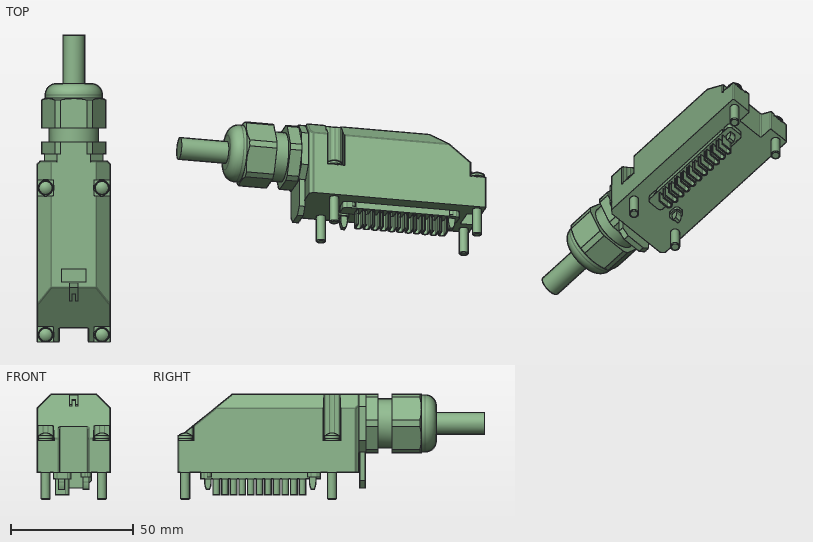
import cadquery as cq
import math

OVERLAP = 0.5

HOOD_WIDTH = 30.0
HOOD_LENGTH = 74.0
HOOD_HEIGHT = 32.0
TOP_FLAT_WIDTH = 18.4
SIDE_BEVEL = (HOOD_WIDTH - TOP_FLAT_WIDTH) / 2
NOSE_ANGLE = 39.0
NOSE_TOP_Y = 22.3
NOSE_FRONT_Z = HOOD_HEIGHT - NOSE_TOP_Y * math.tan(math.radians(NOSE_ANGLE))
REAR_CORNER_CHAMFER = 1.4
EDGE_RADIUS = 0.5
FRONT_SLOT_WIDTH = 11.8
FRONT_SLOT_DEPTH = 5.8

SCREW_X = 11.5
SCREW_FRONT_Y = 3.0
SCREW_PITCH_Y = 60.0
SCREW_YS = (SCREW_FRONT_Y, SCREW_FRONT_Y + SCREW_PITCH_Y)
SCREW_PLACES = [(side, y) for side in (-1, 1) for y in SCREW_YS]
SHANK_DIAMETER = 3.8
SHANK_BOTTOM_Z = -11.0
SHANK_CHAMFER = 0.4
HEAD_DIAMETER = 6.0
WASHER_DIAMETER = 5.6
WASHER_HEIGHT = 0.8
HEAD_RIM_HEIGHT = 1.9
DOME_BASE_DIAMETER = 5.3
HEAD_DOME_HEIGHT = 1.1
POCKET_FLOOR_Z = 13.1
POCKET_WIDTH = 6.6
POCKET_CORNER_RADIUS = 0.5
POCKET_LIP = 0.4
HEAD_BORE_DIAMETER = 6.92

LABEL_SIZE = (10.2, 5.2)
LABEL_CENTRE_Y = 27.2
LABEL_DEPTH = 0.3
MARK_WIDTH = 3.6
MARK_Y_RANGE = (16.9, 23.9)
MARK_NOTCH_WIDTH = 1.4
MARK_NOTCH_END_Y = 19.6
MARK_DEPTH = 0.5

GLAND_AXIS_Z = 20.0
ACROSS_FLATS = 24.0
ACROSS_TRUNCATED_CORNERS = 26.2
COLLAR_BACK_Y = 76.9
LOCKNUT_BACK_Y = 81.8
NECK_BACK_Y = 87.4
CAP_HEX_BACK_Y = 99.6
CAP_BACK_Y = 105.6
CABLE_END_Y = 125.35
NECK_DIAMETER = 20.3
DOME_DIAMETER = 23.4
DOME_RADIUS = 4.6
CABLE_DIAMETER = 9.0
CAP_CHAMFER = 1.0

COLLAR_WIDTH = 24.0
COLLAR_BEVEL = 5.1
TONGUE_WIDTH = 14.4
TONGUE_BOTTOM_Z = -6.4
TONGUE_BEVEL = 3.0
TONGUE_INSET = 0.25

INSERT_X_RANGE = (-8.3, -1.1)
INSERT_Y_RANGE = (9.3, 58.3)
INSERT_BOTTOM_Z = -2.65
INSERT_CORNER_RADIUS = 1.5
INSERT_FLOOR_TOP_Z = -1.9
INSERT_MIDDLE_Y_RANGE = (13.7, 53.0)
SIDE_TAB_X_RANGE = (3.0, 7.2)

CONTACT_COUNT = 11
CONTACT_PITCH = 3.52
CONTACT_X_RANGE = (-7.5, -1.9)
CONTACT_THICKNESS = 2.8
CONTACT_WALL = 0.5
CONTACT_BOTTOM_Z = -9.2

PRONG_WIDTH_X = 2.5
PRONG_ROOT_WIDTH = 2.7
PRONG_TIP_WIDTH = 1.3
PRONG_TIP_Z = -6.9
PRONG_STRAIGHT = 1.3
PRONG_X = 5.0
PRONG_FRONT_Y = 12.3
PRONG_REAR_Y = 55.1


def box_between(x_range, y_range, z_range):
    """Axis-aligned box given by its limits."""
    spans = [max(r) - min(r) for r in (x_range, y_range, z_range)]
    corner = (min(x_range), min(y_range), min(z_range))
    return cq.Workplane("XY").box(*spans, centered=False).translate(corner)


def extrude_along_y(outline, y_start, y_end):
    """Extrude a closed (x, z) outline from y_start to y_end."""
    plane = cq.Workplane("XZ", origin=(0, y_start, 0))
    return plane.polyline(outline).close().extrude(y_start - y_end)


def extrude_across_x(outline, width):
    """Extrude a closed (y, z) outline symmetrically about X = 0."""
    return cq.Workplane("YZ").polyline(outline).close().extrude(width / 2, both=True)


def rod_along_y(diameter, y_start, y_end):
    plane = cq.Workplane("XZ", origin=(0, y_start, GLAND_AXIS_Z))
    return plane.circle(diameter / 2).extrude(y_start - y_end)


def make_hood_shell():
    half = HOOD_WIDTH / 2
    half_top = TOP_FLAT_WIDTH / 2
    shoulder_z = HOOD_HEIGHT - SIDE_BEVEL
    section = [
        (-half, 0),
        (half, 0),
        (half, shoulder_z),
        (half_top, HOOD_HEIGHT),
        (-half_top, HOOD_HEIGHT),
        (-half, shoulder_z),
    ]
    side = [
        (0, 0),
        (HOOD_LENGTH, 0),
        (HOOD_LENGTH, HOOD_HEIGHT),
        (NOSE_TOP_Y, HOOD_HEIGHT),
        (0, NOSE_FRONT_Z),
    ]
    hood = extrude_along_y(section, 0, HOOD_LENGTH)
    hood = hood.intersect(extrude_across_x(side, HOOD_WIDTH))
    hood = hood.edges("|Z and >Y").chamfer(REAR_CORNER_CHAMFER)
    hood = hood.edges("not <Z").fillet(EDGE_RADIUS)
    slot = box_between(
        (-FRONT_SLOT_WIDTH / 2, FRONT_SLOT_WIDTH / 2), (0, FRONT_SLOT_DEPTH), (0, HOOD_HEIGHT)
    )
    hood = hood.cut(slot)
    slot_zone = cq.selectors.BoxSelector(
        (-half_top, -OVERLAP, 0), (half_top, FRONT_SLOT_DEPTH + OVERLAP, HOOD_HEIGHT)
    )
    return hood.edges("|Z").edges(slot_zone).fillet(EDGE_RADIUS)


def make_screw_pocket(side, y):
    """Square well around a screw, open to the side and, at the nose, to the front.

    Beyond its lip the well flares at 45 degrees.
    """
    half = POCKET_WIDTH / 2
    inner_x = SCREW_X - half
    lip_x = HOOD_WIDTH / 2 - POCKET_LIP
    flare = POCKET_WIDTH
    outline = [
        (inner_x, y + half),
        (lip_x, y + half),
        (lip_x + flare, y + half + flare),
    ]
    if y == SCREW_FRONT_Y:
        outline += [
            (lip_x + flare, POCKET_LIP - flare),
            (inner_x - flare, POCKET_LIP - flare),
            (inner_x, POCKET_LIP),
        ]
    else:
        outline += [
            (lip_x + flare, y - half - flare),
            (lip_x, y - half),
            (inner_x, y - half),
        ]
    plane = cq.Workplane("XY", origin=(0, 0, POCKET_FLOOR_Z))
    well = plane.polyline(outline).close().extrude(HOOD_HEIGHT)
    inner_corners = cq.selectors.BoxSelector(
        (inner_x - POCKET_LIP, y - flare, 0), (inner_x + POCKET_LIP, y + flare, 2 * HOOD_HEIGHT)
    )
    well = well.edges("|Z").edges(inner_corners).fillet(POCKET_CORNER_RADIUS)
    return well if side > 0 else well.mirror("YZ")


def make_head_bore(side, y):
    """Round clearance that leaves a shallow groove in each well wall."""
    plane = cq.Workplane("XY", origin=(side * SCREW_X, y, POCKET_FLOOR_Z))
    return plane.circle(HEAD_BORE_DIAMETER / 2).extrude(HOOD_HEIGHT)


def cut_screw_pockets(hood):
    for side, y in SCREW_PLACES:
        hood = hood.cut(make_screw_pocket(side, y)).cut(make_head_bore(side, y))
    return hood


def make_screw(x, y):
    """Screw with a chamfered shank, a washer and a domed head."""
    shank_length = POCKET_FLOOR_Z - SHANK_BOTTOM_Z + OVERLAP
    shank = cq.Workplane("XY").circle(SHANK_DIAMETER / 2).extrude(shank_length)
    shank = shank.faces("<Z").chamfer(SHANK_CHAMFER).translate((x, y, SHANK_BOTTOM_Z))
    washer = WASHER_DIAMETER / 2
    rim = HEAD_DIAMETER / 2
    dome = DOME_BASE_DIAMETER / 2
    mid_radius = dome / 2
    sphere_radius = (dome**2 + HEAD_DOME_HEIGHT**2) / (2 * HEAD_DOME_HEIGHT)
    mid_z = HEAD_RIM_HEIGHT + HEAD_DOME_HEIGHT - sphere_radius
    mid_z += math.sqrt(sphere_radius**2 - mid_radius**2)
    head = (
        cq.Workplane("XZ")
        .lineTo(washer, 0)
        .lineTo(washer, WASHER_HEIGHT)
        .lineTo(rim, WASHER_HEIGHT)
        .lineTo(rim, HEAD_RIM_HEIGHT)
        .lineTo(dome, HEAD_RIM_HEIGHT)
        .threePointArc((mid_radius, mid_z), (0, HEAD_RIM_HEIGHT + HEAD_DOME_HEIGHT))
        .close()
        .revolve(360, (0, 0, 0), (0, 1, 0))
    )
    return shank.union(head.translate((x, y, POCKET_FLOOR_Z)))


def make_label_recess():
    plane = cq.Workplane("XY", origin=(0, LABEL_CENTRE_Y, HOOD_HEIGHT))
    return plane.rect(*LABEL_SIZE).extrude(-LABEL_DEPTH)


def make_mark_recess():
    """Shallow forked recess that ramps in from the top and runs down the nose."""
    y_low, y_high = MARK_Y_RANGE
    slope = math.tan(math.radians(NOSE_ANGLE))
    low_z = HOOD_HEIGHT - (NOSE_TOP_Y - y_low) * slope
    path = [
        (y_low, low_z - MARK_DEPTH),
        (NOSE_TOP_Y, HOOD_HEIGHT - MARK_DEPTH),
        (y_high, HOOD_HEIGHT),
        (y_low, HOOD_HEIGHT),
    ]
    half_notch = MARK_NOTCH_WIDTH / 2
    notch = box_between((-half_notch, half_notch), (y_low, MARK_NOTCH_END_Y), (0, HOOD_HEIGHT))
    return extrude_across_x(path, MARK_WIDTH).cut(notch)


def make_gland_hex(y_start, y_end):
    """Hexagon with a flat on top and all six corners cut flat."""
    flats_to_corners = 1 / math.cos(math.pi / 6)
    plane = cq.Workplane("XZ", origin=(0, y_start, GLAND_AXIS_Z))
    depth = y_start - y_end
    hexagon = plane.polygon(6, ACROSS_FLATS * flats_to_corners).extrude(depth)
    corner_cut = plane.polygon(6, ACROSS_TRUNCATED_CORNERS * flats_to_corners).extrude(depth)
    corner_cut = corner_cut.rotate((0, 0, GLAND_AXIS_Z), (0, 1, GLAND_AXIS_Z), 30)
    return hexagon.intersect(corner_cut)


def make_gland():
    cap_hex = make_gland_hex(NECK_BACK_Y, CAP_HEX_BACK_Y)
    turned_diameter = DOME_DIAMETER + 4 * CAP_CHAMFER
    cap_turning = rod_along_y(turned_diameter, NECK_BACK_Y, CAP_HEX_BACK_Y)
    cap_turning = cap_turning.faces(">Y").chamfer(CAP_CHAMFER, 2 * CAP_CHAMFER)
    dome = rod_along_y(DOME_DIAMETER, CAP_HEX_BACK_Y - OVERLAP, CAP_BACK_Y)
    dome = dome.faces(">Y").edges().fillet(DOME_RADIUS)
    neck = rod_along_y(NECK_DIAMETER, LOCKNUT_BACK_Y - OVERLAP, NECK_BACK_Y + OVERLAP)
    cable = rod_along_y(CABLE_DIAMETER, CAP_BACK_Y - OVERLAP, CABLE_END_Y)
    locknut = make_gland_hex(COLLAR_BACK_Y, LOCKNUT_BACK_Y)
    return locknut.union(neck).union(cap_hex.intersect(cap_turning)).union(dome).union(cable)


def make_collar():
    collar_bottom_z = GLAND_AXIS_Z - ACROSS_FLATS / 2
    start_y = HOOD_LENGTH - OVERLAP
    collar = box_between(
        (-COLLAR_WIDTH / 2, COLLAR_WIDTH / 2),
        (start_y, COLLAR_BACK_Y),
        (collar_bottom_z, HOOD_HEIGHT),
    )
    collar = collar.edges("|Y").chamfer(COLLAR_BEVEL)
    tongue = box_between(
        (-TONGUE_WIDTH / 2, TONGUE_WIDTH / 2),
        (HOOD_LENGTH + TONGUE_INSET, COLLAR_BACK_Y - TONGUE_INSET),
        (TONGUE_BOTTOM_Z, collar_bottom_z + OVERLAP),
    )
    tongue = tongue.edges("|Y and <Z").chamfer(TONGUE_BEVEL)
    return collar.union(tongue)


def make_insert():
    """Contact carrier: a block between two rounded end tabs, on one rounded floor plate."""
    z_range = (INSERT_BOTTOM_Z, OVERLAP)
    y_front, y_rear = INSERT_Y_RANGE
    middle_front, middle_rear = INSERT_MIDDLE_Y_RANGE
    floor = box_between(INSERT_X_RANGE, INSERT_Y_RANGE, (INSERT_BOTTOM_Z, INSERT_FLOOR_TOP_Z))
    insert = floor.edges("|Z").fillet(INSERT_CORNER_RADIUS)
    insert = insert.union(box_between(INSERT_X_RANGE, INSERT_MIDDLE_Y_RANGE, z_range))
    for y_range in ((y_front, middle_front), (middle_rear, y_rear)):
        tab = box_between(INSERT_X_RANGE, y_range, z_range)
        insert = insert.union(tab.edges("|Z").fillet(INSERT_CORNER_RADIUS))
    side_tab = box_between(SIDE_TAB_X_RANGE, (middle_rear, y_rear), (INSERT_FLOOR_TOP_Z, OVERLAP))
    return insert.union(side_tab.edges("|Z").fillet(INSERT_CORNER_RADIUS))


def make_contacts():
    """Row of upright U-shaped channels, open towards -X."""
    x_open, x_closed = CONTACT_X_RANGE
    outer_radius = CONTACT_THICKNESS / 2
    inner_radius = outer_radius - CONTACT_WALL
    bend_x = x_closed - outer_radius
    outline = (
        cq.Workplane("XY", origin=(0, 0, CONTACT_BOTTOM_Z))
        .moveTo(x_open, outer_radius)
        .lineTo(bend_x, outer_radius)
        .threePointArc((x_closed, 0), (bend_x, -outer_radius))
        .lineTo(x_open, -outer_radius)
        .lineTo(x_open, -inner_radius)
        .lineTo(bend_x, -inner_radius)
        .threePointArc((bend_x + inner_radius, 0), (bend_x, inner_radius))
        .lineTo(x_open, inner_radius)
        .close()
    )
    contact = outline.extrude(INSERT_FLOOR_TOP_Z - CONTACT_BOTTOM_Z)
    first_y = (sum(INSERT_MIDDLE_Y_RANGE) - (CONTACT_COUNT - 1) * CONTACT_PITCH) / 2
    row = cq.Workplane("XY")
    for index in range(CONTACT_COUNT):
        row = row.union(contact.translate((0, first_y + index * CONTACT_PITCH, 0)))
    return row


def make_prong(x, y):
    """Bullet-shaped locating prong of constant thickness along X."""
    half_root = PRONG_ROOT_WIDTH / 2
    half_tip = PRONG_TIP_WIDTH / 2
    shoulder_z = INSERT_BOTTOM_Z - PRONG_STRAIGHT
    prong = (
        cq.Workplane("YZ")
        .moveTo(0, OVERLAP)
        .lineTo(half_root, OVERLAP)
        .lineTo(half_root, shoulder_z)
        .tangentArcPoint((half_tip, PRONG_TIP_Z), relative=False)
        .lineTo(0, PRONG_TIP_Z)
        .mirrorY()
        .extrude(PRONG_WIDTH_X / 2, both=True)
    )
    return prong.translate((x, y, 0))


def make_part():
    part = cut_screw_pockets(make_hood_shell())
    part = part.cut(make_label_recess()).cut(make_mark_recess())
    for side, y in SCREW_PLACES:
        part = part.union(make_screw(side * SCREW_X, y))
    part = part.union(make_collar()).union(make_gland())
    part = part.union(make_insert()).union(make_contacts())
    part = part.union(make_prong(-PRONG_X, PRONG_FRONT_Y))
    return part.union(make_prong(PRONG_X, PRONG_REAR_Y))


result = make_part()